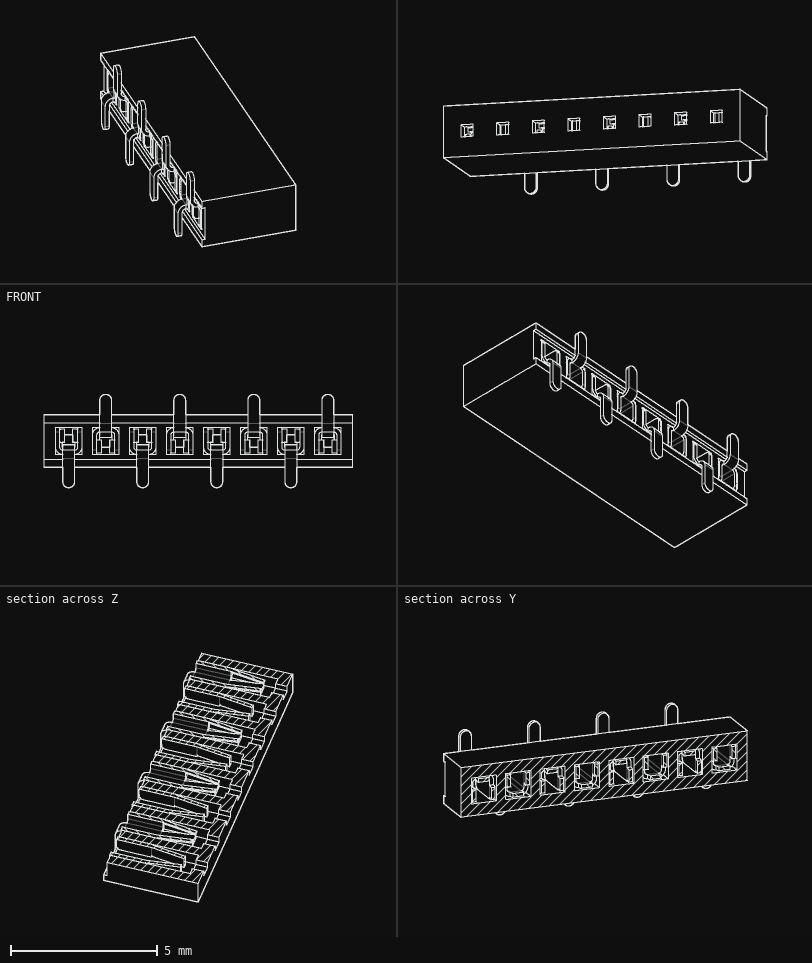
import cadquery as cq
import math


HOUSING_LENGTH = 10.56
HOUSING_HEIGHT = 1.81
HOUSING_REAR = 3.28
LIP_DEPTH = 0.12
RECESS_HEIGHT = 1.25
POCKET_WIDTH = 0.91
POCKET_HEIGHT = 0.92
REAR_WALL = 0.42
MATING_HOLE_SIZE = 0.42

CONTACT_COUNT = 8
CONTACT_PITCH = 1.27

SHEET = 0.15
CHANNEL_LENGTH = 1.27
CHANNEL_FRONT = -0.03
FOLD_INNER_RADIUS = 0.11
FOLD_OUTER_RADIUS = FOLD_INNER_RADIUS + SHEET
WALL_CORNER_RADIUS = 0.15
CHANNEL_REAR = CHANNEL_FRONT + CHANNEL_LENGTH
CHANNEL_SIDE = POCKET_WIDTH / 2
CHANNEL_BOTTOM = -POCKET_HEIGHT / 2
BASE_TOP = CHANNEL_BOTTOM + SHEET

SPRING_LENGTH = 1.22
SPRING_REAR = CHANNEL_REAR + SPRING_LENGTH
ARM_INSET = 0.17
ARM_TOP = 0.41
ARM_BOTTOM = -0.04
TONGUE_RISE = 0.19

TAIL_WIDTH = 0.41
TAIL_SPAN = 3.2
TAIL_TIP = TAIL_SPAN / 2
TAIL_BEND_INNER_RADIUS = 0.14
TAIL_BEND_OUTER_RADIUS = TAIL_BEND_INNER_RADIUS + SHEET
TAIL_BEND_Z = CHANNEL_BOTTOM - TAIL_BEND_INNER_RADIUS
TAIL_BACK = CHANNEL_FRONT - TAIL_BEND_INNER_RADIUS
TAIL_FRONT = CHANNEL_FRONT - TAIL_BEND_OUTER_RADIUS


def block(x_size, z_size, y_front, y_rear):
    """A box centred on the Y axis, from y_front to y_rear."""
    length = y_rear - y_front
    return cq.Workplane("XY").box(x_size, length, z_size).translate((0, y_front + length / 2, 0))


def contact_x(index):
    return (index - (CONTACT_COUNT - 1) / 2) * CONTACT_PITCH


def make_housing():
    body = block(HOUSING_LENGTH, HOUSING_HEIGHT, -LIP_DEPTH, HOUSING_REAR)
    body = body.cut(block(HOUSING_LENGTH, RECESS_HEIGHT, -LIP_DEPTH, 0))
    pocket_rear = HOUSING_REAR - REAR_WALL
    pocket = block(POCKET_WIDTH, POCKET_HEIGHT, 0, pocket_rear)
    mating_hole = block(MATING_HOLE_SIZE, MATING_HOLE_SIZE, pocket_rear, HOUSING_REAR)
    cavity = pocket.union(mating_hole)
    for index in range(CONTACT_COUNT):
        body = body.cut(cavity.translate((contact_x(index), 0, 0)))
    return body


def make_channel():
    """U-shaped channel, open at the top, with rounded folds along the base."""
    outside = block(POCKET_WIDTH, POCKET_HEIGHT, CHANNEL_FRONT, CHANNEL_REAR)
    outside = outside.edges("|Y and <Z").fillet(FOLD_OUTER_RADIUS)
    inside = block(POCKET_WIDTH - 2 * SHEET, POCKET_HEIGHT, CHANNEL_FRONT, CHANNEL_REAR)
    inside = inside.edges("|Y and <Z").fillet(FOLD_INNER_RADIUS)
    channel = outside.cut(inside.translate((0, 0, SHEET)))
    return channel.faces("<Y").edges(">Z").fillet(WALL_CORNER_RADIUS)


def make_arm():
    """Spring arm that continues the -X channel wall and leans inward."""
    outer_x = -CHANNEL_SIDE
    inner_x = outer_x + SHEET
    return (
        cq.Workplane("XY", origin=(0, 0, ARM_BOTTOM))
        .moveTo(outer_x, CHANNEL_REAR)
        .lineTo(inner_x, CHANNEL_REAR)
        .lineTo(inner_x + ARM_INSET, SPRING_REAR)
        .lineTo(outer_x + ARM_INSET, SPRING_REAR)
        .close()
        .extrude(ARM_TOP - ARM_BOTTOM)
    )


def make_tongue():
    """Spring tongue that continues the channel base and leans upward."""
    return (
        cq.Workplane("YZ")
        .moveTo(CHANNEL_REAR, CHANNEL_BOTTOM)
        .lineTo(CHANNEL_REAR, BASE_TOP)
        .lineTo(SPRING_REAR, BASE_TOP + TONGUE_RISE)
        .lineTo(SPRING_REAR, CHANNEL_BOTTOM + TONGUE_RISE)
        .close()
        .extrude(TAIL_WIDTH / 2, both=True)
    )


def make_tail():
    """Tail that leaves the channel base, bends down and ends in a round tip."""
    diagonal = math.sqrt(0.5)
    outer_mid = (
        CHANNEL_FRONT - TAIL_BEND_OUTER_RADIUS * diagonal,
        TAIL_BEND_Z + TAIL_BEND_OUTER_RADIUS * diagonal,
    )
    inner_mid = (
        CHANNEL_FRONT - TAIL_BEND_INNER_RADIUS * diagonal,
        TAIL_BEND_Z + TAIL_BEND_INNER_RADIUS * diagonal,
    )
    bend = (
        cq.Workplane("YZ")
        .moveTo(CHANNEL_FRONT, BASE_TOP)
        .threePointArc(outer_mid, (TAIL_FRONT, TAIL_BEND_Z))
        .lineTo(TAIL_BACK, TAIL_BEND_Z)
        .threePointArc(inner_mid, (CHANNEL_FRONT, CHANNEL_BOTTOM))
        .close()
        .extrude(TAIL_WIDTH / 2, both=True)
    )
    half_width = TAIL_WIDTH / 2
    tip_start_z = -TAIL_TIP + half_width
    blade = (
        cq.Workplane("XZ", origin=(0, TAIL_BACK, 0))
        .moveTo(-half_width, TAIL_BEND_Z)
        .lineTo(-half_width, tip_start_z)
        .threePointArc((0, -TAIL_TIP), (half_width, tip_start_z))
        .lineTo(half_width, TAIL_BEND_Z)
        .close()
        .extrude(SHEET)
    )
    return bend.union(blade)


def make_contact():
    """One contact, centred on the Y axis, with its tail pointing down."""
    arm = make_arm()
    return make_channel().union(arm).union(arm.mirror("YZ")).union(make_tongue()).union(make_tail())


housing = make_housing()

contact_down = make_contact()
contact_up = contact_down.rotate((0, 0, 0), (0, 1, 0), 180)
contacts = []
for index in range(CONTACT_COUNT):
    contact = contact_down if index % 2 == 0 else contact_up
    contacts.append(contact.translate((contact_x(index), 0, 0)).val())

result = cq.Compound.makeCompound([housing.val(), *contacts])